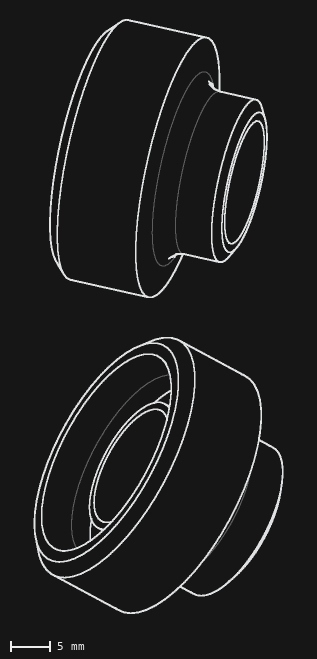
import cadquery as cq
import math

total_length = 21.0
outer_radius = 17.0
rim_chamfer = 1.5
rim_length = 12.05
shoulder_angle = 10.0

hub_radius = 10.65
hub_fillet = 2.48
hub_chamfer_length = 0.9
hub_chamfer_depth = 1.5

mouth_radius = 13.95
recess_radius = 25.8 / 2
mouth_depth = 3.95
recess_depth = 6.95

sleeve_radius = 18.0 / 2
bore_radius = 16.0 / 2


def turned(points):
    """Revolve an (x, radius) outline about the X axis."""
    return cq.Workplane("XY").polyline(points).close().revolve(360, (0, 0, 0), (1, 0, 0))


shoulder_rise = (outer_radius - hub_radius) * math.tan(math.radians(shoulder_angle))
shoulder_end = rim_length + shoulder_rise
body = turned([
    (0, 0),
    (0, outer_radius - rim_chamfer),
    (rim_chamfer, outer_radius),
    (rim_length, outer_radius),
    (shoulder_end, hub_radius),
    (total_length - hub_chamfer_length, hub_radius),
    (total_length, hub_radius - hub_chamfer_depth),
    (total_length, 0),
])

corner_reach = 0.05
corner = cq.selectors.BoxSelector(
    (shoulder_end - corner_reach, -outer_radius, -outer_radius),
    (shoulder_end + corner_reach, outer_radius, outer_radius),
    boundingbox=True,
)
body = body.edges(corner).fillet(hub_fillet)

recess = turned([
    (0, 0),
    (0, mouth_radius),
    (mouth_depth, recess_radius),
    (recess_depth, recess_radius),
    (recess_depth, sleeve_radius),
    (mouth_depth, sleeve_radius),
    (mouth_depth, 0),
])

bore = cq.Workplane("YZ").circle(bore_radius).extrude(total_length)

result = body.cut(recess).cut(bore)